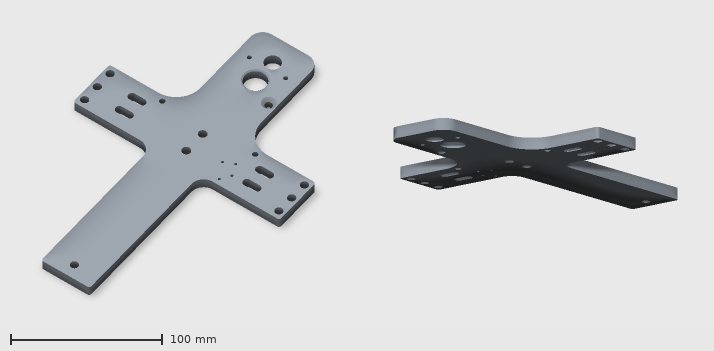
import cadquery as cq

thickness = 8.0
arm_span = 170.0
arm_width = 40.0
head_width = 50.0
head_length = 85.0
stem_width = 40.0
stem_length = 122.0

head_corner_radius = 10.0
head_to_arm_radius = 20.0
stem_to_arm_radius = 10.0
arm_corner_radius = 2.0
stem_corner_radius = 2.0

arm_end_x = arm_span / 2
arm_edge_y = arm_width / 2
head_top_y = arm_edge_y + head_length
stem_bottom_y = -arm_edge_y - stem_length

cable_hole_diameter = 12.2
cable_hole_y = head_top_y - 19.0
bearing_hole_diameter = 17.0
bearing_hole_chamfer = 1.0
bearing_hole_y = head_top_y - 38.0
head_screw_diameter = 3.3
head_screw_x = 15.0
head_screw_y = head_top_y - 24.7
countersink_x = 18.75
countersink_y = head_top_y - 48.5
countersink_diameter = 10.4
countersink_hole_diameter = 5.5
cone_angle = 90.0

arm_hole_diameter = 6.1
arm_hole_x = arm_end_x - 5.0
arm_hole_pitch = 14.0
slot_length = 14.2
slot_width = 6.0
slot_x = 52.5
slot_pitch = 14.0
shoulder_hole_diameter = 4.2
shoulder_hole_x = 38.25
shoulder_hole_y = arm_edge_y - 4.3

centre_hole_diameter = 6.5
centre_hole_pitch = 18.0
stem_hole_diameter = 6.0
stem_hole_y = stem_bottom_y + 10.0

small_hole_diameter = 2.0
small_hole_points = [(33.0, 1.3), (25.0, -2.5), (37.0, -8.2), (32.0, -15.5)]


def mirrored(points):
    """Return the points together with their mirror images in X."""
    return points + [(-x, y) for x, y in points]


def round_corners(plate, points, radius):
    """Fillet the vertical edges that stand at the given points."""
    half_box = 0.1
    for x, y in points:
        near_corner = cq.selectors.BoxSelector(
            (x - half_box, y - half_box, -half_box),
            (x + half_box, y + half_box, thickness + half_box),
        )
        plate = plate.edges("|Z").edges(near_corner).fillet(radius)
    return plate


def drill(plate, points, diameter):
    """Cut plain through holes at the given points."""
    pins = cq.Workplane("XY").pushPoints(points).circle(diameter / 2).extrude(thickness)
    return plate.cut(pins)


def spine_bar(width, end_y):
    """Build a bar along Y from the middle of the arms to end_y."""
    bar = cq.Workplane("XY").center(0, end_y / 2).rect(width, abs(end_y))
    return bar.extrude(thickness)


def countersink(plate, point, hole_diameter, rim_diameter):
    """Cut a through hole that widens in a cone to the rim on the top face."""
    top = cq.Workplane("XY").workplane(offset=thickness)
    seat = plate.copyWorkplane(top).pushPoints([point])
    return seat.cskHole(hole_diameter, rim_diameter, cone_angle)


def make_plate():
    """Build the cross-shaped plate with its rounded corners."""
    arms = cq.Workplane("XY").rect(arm_span, arm_width).extrude(thickness)
    head = spine_bar(head_width, head_top_y)
    stem = spine_bar(stem_width, stem_bottom_y)
    plate = arms.union(head).union(stem).clean()

    head_side_x = head_width / 2
    stem_side_x = stem_width / 2
    arm_corners = [(arm_end_x, arm_edge_y), (arm_end_x, -arm_edge_y)]
    plate = round_corners(plate, mirrored([(head_side_x, head_top_y)]), head_corner_radius)
    plate = round_corners(plate, mirrored([(head_side_x, arm_edge_y)]), head_to_arm_radius)
    plate = round_corners(plate, mirrored([(stem_side_x, -arm_edge_y)]), stem_to_arm_radius)
    plate = round_corners(plate, mirrored([(stem_side_x, stem_bottom_y)]), stem_corner_radius)
    return round_corners(plate, mirrored(arm_corners), arm_corner_radius)


def cut_head_holes(plate):
    """Cut the cable, bearing, screw and countersunk holes of the head."""
    plate = drill(plate, [(0, cable_hole_y)], cable_hole_diameter)
    plate = drill(plate, mirrored([(head_screw_x, head_screw_y)]), head_screw_diameter)
    bearing_rim_diameter = bearing_hole_diameter + 2 * bearing_hole_chamfer
    plate = countersink(plate, (0, bearing_hole_y), bearing_hole_diameter, bearing_rim_diameter)
    return countersink(
        plate,
        (countersink_x, countersink_y),
        countersink_hole_diameter,
        countersink_diameter,
    )


def cut_arm_openings(plate):
    """Cut the end holes, slots and shoulder holes of both arms."""
    end_holes = [(arm_hole_x, row * arm_hole_pitch) for row in (-1, 0, 1)]
    plate = drill(plate, mirrored(end_holes), arm_hole_diameter)
    plate = drill(plate, mirrored([(shoulder_hole_x, shoulder_hole_y)]), shoulder_hole_diameter)
    slot_centres = [(slot_x, side * slot_pitch / 2) for side in (-1, 1)]
    slots = (
        cq.Workplane("XY")
        .pushPoints(mirrored(slot_centres))
        .slot2D(slot_length, slot_width)
        .extrude(thickness)
    )
    return plate.cut(slots)


def cut_centre_holes(plate):
    """Cut the holes on the centre line and the small holes beside it."""
    centre_holes = [(0, side * centre_hole_pitch / 2) for side in (-1, 1)]
    plate = drill(plate, centre_holes, centre_hole_diameter)
    plate = drill(plate, [(0, stem_hole_y)], stem_hole_diameter)
    return drill(plate, small_hole_points, small_hole_diameter)


result = cut_centre_holes(cut_arm_openings(cut_head_holes(make_plate())))